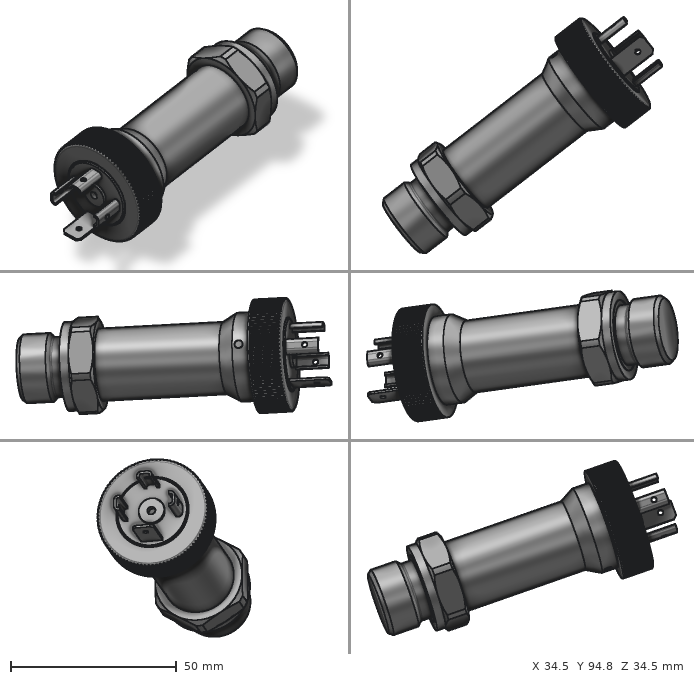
import cadquery as cq
import math


nut_front = 12.4
nut_length = 10.0
neck_length = 0.3
collar_end = 27.8
taper_end = 32.25
hex_front = 70.5
hex_back = 78.1
flange_back = 80.8
seat_height = 0.2
undercut_end = 85.65
overall_length = 94.85

collar_diameter = 27.0
tube_diameter = 22.0
neck_diameter = 25.0
seat_diameter = 21.5
undercut_diameter = 18.4
thread_diameter = 21.0
thread_tip_diameter = 18.9
thread_tip_chamfer_length = 1.2
undercut_cone_angle = 45
undercut_fillet = 0.8

hex_sides = 6
hex_across_flats = 27.0
hex_corner_diameter = 30.1
hex_chamfer_angle = 30

nut_diameter = 34.5
nut_face_diameter = 32.1
nut_edge_length = 0.6
nut_edge_bulge = 0.2
smooth_rim_length = 0.6
tooth_count = 90
tooth_depth = 0.4
crest_share = 0.4

recess_diameter = 22.3
recess_chamfer = 0.2
recess_depth = 0.5
insert_diameter = 21.5
insert_front = 12.0
button_diameter = 8.0
button_front = 11.1
button_hole_diameter = 2.5
button_hole_depth = 2.8

contact_offset = 9.5
contact_thickness = 0.8
contact_hole_diameter = 1.6
blade_width = 6.6
blade_tip_chamfer = 1.0
blade_hole_station = 4.2
channel_tip = 2.2
channel_width = 4.7
channel_height = 1.9
channel_bend_radius = 1.4
channel_hole_station = 6.3

mark_diameter = 2.5
mark_depth = 0.3
mark_station = 25.8

nut_back = nut_front + nut_length
seat_back = flange_back + seat_height
contact_root = nut_front + recess_depth


def revolve(points):
    """Solid of revolution about Y from (radius, station) points."""
    return cq.Workplane("XY").polyline(points).close().revolve(360, (0, 0, 0), (0, 1, 0))


def disc(diameter, start, end):
    """Cylinder on the Y axis between two stations."""
    return cq.Workplane("XZ", origin=(0, start, 0)).circle(diameter / 2).extrude(start - end)


def turned_body():
    collar_radius = collar_diameter / 2
    tube_radius = tube_diameter / 2
    undercut_radius = undercut_diameter / 2
    thread_radius = thread_diameter / 2
    neck_radius = neck_diameter / 2
    cone_angle = math.radians(undercut_cone_angle)
    cone_length = (thread_radius - undercut_radius) / math.tan(cone_angle)
    undercut_corner = undercut_end - cone_length

    half_turn = cone_angle / 2
    tangent_length = undercut_fillet * math.tan(half_turn)
    arc_end_rise = tangent_length * math.cos(cone_angle)
    arc_end_step = tangent_length * math.sin(cone_angle)
    arc_start = (undercut_radius, undercut_corner - tangent_length)
    arc_middle = (
        undercut_radius + undercut_fillet * (1 - math.cos(half_turn)),
        arc_start[1] + undercut_fillet * math.sin(half_turn),
    )
    arc_end = (undercut_radius + arc_end_step, undercut_corner + arc_end_rise)

    profile = (
        cq.Workplane("XY")
        .moveTo(0, nut_back)
        .lineTo(neck_radius, nut_back)
        .lineTo(neck_radius, nut_back + neck_length)
        .lineTo(collar_radius, nut_back + neck_length)
        .lineTo(collar_radius, collar_end)
        .lineTo(tube_radius, taper_end)
        .lineTo(tube_radius, hex_back)
        .lineTo(collar_radius, hex_back)
        .lineTo(collar_radius, flange_back)
        .lineTo(seat_diameter / 2, flange_back)
        .lineTo(seat_diameter / 2, seat_back)
        .lineTo(undercut_radius, seat_back)
        .lineTo(*arc_start)
        .threePointArc(arc_middle, arc_end)
        .lineTo(thread_radius, undercut_end)
        .lineTo(thread_radius, overall_length - thread_tip_chamfer_length)
        .lineTo(thread_tip_diameter / 2, overall_length)
        .lineTo(0, overall_length)
        .close()
    )
    return profile.revolve(360, (0, 0, 0), (0, 1, 0))


def hexagon():
    corner_radius = hex_corner_diameter / 2
    flat_radius = hex_across_flats / 2
    half_sector = 180 / hex_sides
    chamfer_length = (corner_radius - flat_radius) * math.tan(math.radians(hex_chamfer_angle))
    point_diameter = hex_across_flats / math.cos(math.radians(half_sector))
    prism = (
        cq.Workplane("XZ", origin=(0, hex_front, 0))
        .transformed(rotate=(0, 0, half_sector))
        .polygon(hex_sides, point_diameter)
        .extrude(hex_front - hex_back)
    )
    envelope = revolve([
        (0, hex_front),
        (flat_radius, hex_front),
        (corner_radius, hex_front + chamfer_length),
        (corner_radius, hex_back - chamfer_length),
        (flat_radius, hex_back),
        (0, hex_back),
    ])
    return prism.intersect(envelope)


def tooth_outline():
    """Closed ring of flat-topped teeth around the nut, as (x, z) points."""
    crest = nut_diameter / 2
    root = crest - tooth_depth
    corners = (
        (-crest_share / 2, crest),
        (crest_share / 2, crest),
        (0.5, root),
    )
    points = []
    for tooth in range(tooth_count):
        for offset, radius in corners:
            angle = 2 * math.pi * (tooth + offset) / tooth_count
            points.append((radius * math.cos(angle), radius * math.sin(angle)))
    return points


def knurled_nut():
    outer_radius = nut_diameter / 2
    face_radius = nut_face_diameter / 2
    rim_front = nut_back - smooth_rim_length
    teeth = (
        cq.Workplane("XZ", origin=(0, nut_front, 0))
        .polyline(tooth_outline())
        .close()
        .extrude(nut_front - rim_front)
    )
    envelope = (
        cq.Workplane("XY")
        .moveTo(0, nut_front)
        .lineTo(face_radius, nut_front)
        .sagittaArc((outer_radius, nut_front + nut_edge_length), -nut_edge_bulge)
        .lineTo(outer_radius, nut_back)
        .lineTo(0, nut_back)
        .close()
        .revolve(360, (0, 0, 0), (0, 1, 0))
    )
    recess_radius = recess_diameter / 2
    recess = revolve([
        (0, nut_front),
        (recess_radius + recess_chamfer, nut_front),
        (recess_radius, nut_front + recess_chamfer),
        (recess_radius, nut_front + recess_depth),
        (0, nut_front + recess_depth),
    ])
    rim = disc(nut_diameter, rim_front, nut_back)
    return teeth.intersect(envelope).union(rim).cut(recess)


def insert():
    face = disc(insert_diameter, insert_front, nut_back)
    button = disc(button_diameter, button_front, nut_back)
    hole = disc(button_hole_diameter, button_front, button_front + button_hole_depth)
    return face.union(button).cut(hole)


def contact_hole(station):
    """Drill through a contact lying on the +Z side."""
    return (
        cq.Workplane("XY", origin=(0, station, contact_offset - channel_height))
        .circle(contact_hole_diameter / 2)
        .extrude(2 * channel_height)
    )


def channel_bar(width, height, bend_radius):
    """Bar with two rounded outer edges, flush with the open side of the channel."""
    middle = contact_offset - channel_height + height / 2
    return (
        cq.Workplane("XZ", origin=(0, channel_tip, middle))
        .rect(width, height)
        .extrude(channel_tip - contact_root)
        .edges("|Y and >Z")
        .fillet(bend_radius)
    )


def channel_contact():
    """Trough-shaped contact on the +Z side, open towards the axis."""
    outer = channel_bar(channel_width, channel_height, channel_bend_radius)
    inner = channel_bar(
        channel_width - 2 * contact_thickness,
        channel_height - contact_thickness,
        channel_bend_radius - contact_thickness,
    )
    return outer.cut(inner).cut(contact_hole(channel_hole_station))


def blade_contact():
    """Flat blade on the +Z side."""
    blade = (
        cq.Workplane("XY", origin=(0, contact_root / 2, contact_offset - contact_thickness))
        .rect(blade_width, contact_root)
        .extrude(contact_thickness)
        .edges("|Z and <Y")
        .chamfer(blade_tip_chamfer)
    )
    return blade.cut(contact_hole(blade_hole_station))


def around_axis(contact, angle):
    return contact.rotate((0, 0, 0), (0, 1, 0), angle)


result = turned_body().union(hexagon()).union(knurled_nut()).union(insert())
for angle in (0, 90, -90):
    result = result.union(around_axis(channel_contact(), angle))
result = result.union(around_axis(blade_contact(), 180))

mark = (
    cq.Workplane("YZ", origin=(-collar_diameter / 2, mark_station, 0))
    .circle(mark_diameter / 2)
    .extrude(mark_depth)
)
result = result.cut(mark)